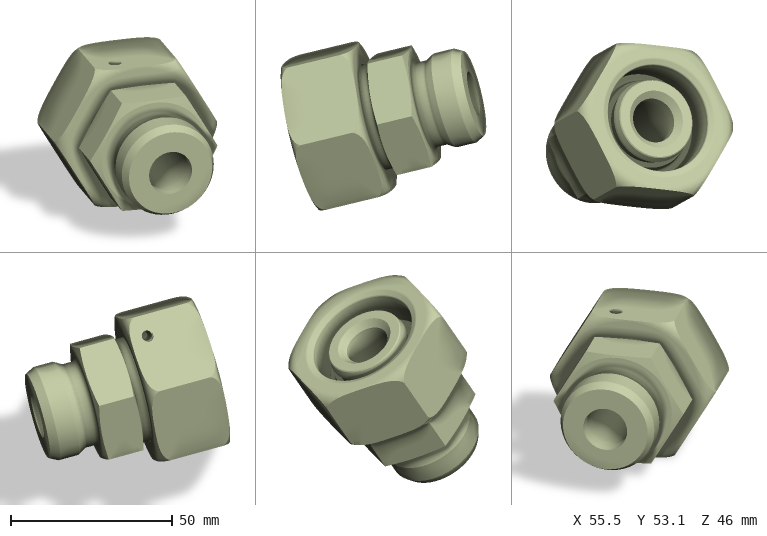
import cadquery as cq
import math


NUT_LENGTH = 23.55
NUT_ACROSS_FLATS = 46.0
NUT_FACE_RADIUS = 22.6
NUT_BORE_RADIUS = 33.85 / 2
MOUTH_RADIUS = 18.85
MOUTH_DEPTH = 0.95
MOUTH_OUTER_ROUND = 1.4
MOUTH_INNER_ROUND = 0.5

WIRE_HOLE_X = 18.0
WIRE_CIRCLE_RADIUS = 33.3 / 2
WIRE_HOLE_DIAMETER = 3.2
WIRE_ENTRY_DIAMETER = 3.55
WIRE_ENTRY_DEPTH = 1.3
WIRE_HOLE_TILT = math.radians(30)

BODY_END = 55.5
BODY_ACROSS_FLATS = 36.0
HEX_START = 26.5
HEX_END = 39.55
HEX_FACE_RADIUS = 17.3
HEX_CHAMFER_ANGLE = math.radians(15)

BORE_RADIUS = 14.0 / 2
BORE_CHAMFER = 2.05
FRONT_X = 2.2
FRONT_EDGE_CHAMFER = 0.35
CONE_START_RADIUS = 12.45
CONE_ANGLE = math.radians(12)
CONE_GROOVE_FRONT_RADIUS = 13.05
CONE_GROOVE_REAR_RADIUS = 13.9
CONE_GROOVE_FLOOR_RADIUS = 12.2
CONE_END_RADIUS = 14.3
CONE_ROOT_ROUND = 0.8
COLLAR_RADIUS = 33.3 / 2
COLLAR_EDGE_RADIUS = 32.95 / 2
COLLAR_ROOT_ROUND = 0.7
NECK_RADIUS = 26.9 / 2
NECK_ROOT_ROUND = 1.1
NECK_END_ROUND = 1.0
NECK_END_ANGLE = math.radians(30)
THREAD_RADIUS = 30.0 / 2
THREAD_START = 46.4
THREAD_END = 52.7
THREAD_END_RADIUS = 13.55


def hex_corner_radius(across_flats):
    """Distance from the axis to a hexagon corner."""
    return across_flats / math.sqrt(3)


def hexagon_bar(start, end, across_flats):
    """Hexagonal bar along X with two flats square to Z."""
    corner_diameter = 2 * hex_corner_radius(across_flats)
    return cq.Workplane("YZ", origin=(start, 0, 0)).polygon(6, corner_diameter).extrude(end - start)


def revolve_about_x(profile):
    """Turn a closed (x, radius) profile about the X axis."""
    return profile.close().revolve(360, (0, 0, 0), (1, 0, 0))



def nut_envelope():
    """Turned shape that rounds the hexagon corners at both end faces."""
    corner_radius = hex_corner_radius(NUT_ACROSS_FLATS)
    corner_round = corner_radius - NUT_FACE_RADIUS
    profile = (
        cq.Workplane("XY")
        .lineTo(0, NUT_FACE_RADIUS)
        .radiusArc((corner_round, corner_radius), corner_round)
        .lineTo(NUT_LENGTH - corner_round, corner_radius)
        .radiusArc((NUT_LENGTH, NUT_FACE_RADIUS), corner_round)
        .lineTo(NUT_LENGTH, 0)
    )
    return revolve_about_x(profile)


def nut_bore():
    """Through bore with a rounded countersink at the left face."""
    profile = (
        cq.Workplane("XY")
        .lineTo(0, MOUTH_RADIUS)
        .lineTo(MOUTH_DEPTH, NUT_BORE_RADIUS)
        .lineTo(NUT_LENGTH, NUT_BORE_RADIUS)
        .lineTo(NUT_LENGTH, 0)
    )
    return revolve_about_x(profile)


def wire_hole():
    """Stepped hole that runs in from the top flat, with its axis tangent to the wire circle."""
    outward = cq.Vector(0, math.sin(WIRE_HOLE_TILT), math.cos(WIRE_HOLE_TILT))
    tangent_point = cq.Vector(
        WIRE_HOLE_X,
        -WIRE_CIRCLE_RADIUS * math.cos(WIRE_HOLE_TILT),
        WIRE_CIRCLE_RADIUS * math.sin(WIRE_HOLE_TILT),
    )
    length_to_flat = (NUT_ACROSS_FLATS / 2 - tangent_point.z) / outward.z
    entry_floor = tangent_point + outward * (length_to_flat - WIRE_ENTRY_DEPTH)
    overrun = WIRE_ENTRY_DIAMETER
    hole = cq.Solid.makeCylinder(WIRE_HOLE_DIAMETER / 2, length_to_flat, tangent_point, outward)
    entry = cq.Solid.makeCylinder(
        WIRE_ENTRY_DIAMETER / 2, WIRE_ENTRY_DEPTH + overrun, entry_floor, outward
    )
    return cq.Workplane(hole).union(cq.Workplane(entry))


def make_nut():
    """Hexagon nut with a plain bore, rounded mouth and wire hole."""
    nut = hexagon_bar(0, NUT_LENGTH, NUT_ACROSS_FLATS).cut(nut_bore())
    smallest_circle = cq.selectors.RadiusNthSelector(0)
    nut = nut.edges(smallest_circle).edges("<X").fillet(MOUTH_INNER_ROUND)
    nut = nut.faces("<X").edges("%CIRCLE").fillet(MOUTH_OUTER_ROUND)
    return nut.intersect(nut_envelope()).cut(wire_hole())



def hex_section():
    """Wrench hexagon with its corners chamfered at both ends."""
    corner_radius = hex_corner_radius(BODY_ACROSS_FLATS)
    chamfer_length = (corner_radius - HEX_FACE_RADIUS) * math.tan(HEX_CHAMFER_ANGLE)
    envelope = (
        cq.Workplane("XY")
        .moveTo(HEX_START, 0)
        .lineTo(HEX_START, HEX_FACE_RADIUS)
        .lineTo(HEX_START + chamfer_length, corner_radius)
        .lineTo(HEX_END - chamfer_length, corner_radius)
        .lineTo(HEX_END, HEX_FACE_RADIUS)
        .lineTo(HEX_END, 0)
    )
    bar = hexagon_bar(HEX_START, HEX_END, BODY_ACROSS_FLATS)
    return bar.intersect(revolve_about_x(envelope))


def cone_x(radius):
    """X position where the sealing cone reaches the given radius."""
    return FRONT_X + FRONT_EDGE_CHAMFER + (radius - CONE_START_RADIUS) / math.tan(CONE_ANGLE)


def sealing_end():
    """Grooved sealing cone and collar on the nut side of the hexagon."""
    groove_front_x = cone_x(CONE_GROOVE_FRONT_RADIUS)
    groove_rear_x = cone_x(CONE_GROOVE_REAR_RADIUS)
    cone_end_x = cone_x(CONE_END_RADIUS)
    collar_x = cone_end_x + CONE_ROOT_ROUND * (1 - math.sin(CONE_ANGLE))
    root_end_radius = CONE_END_RADIUS + CONE_ROOT_ROUND * math.cos(CONE_ANGLE)
    profile = (
        cq.Workplane("XY")
        .moveTo(FRONT_X, 0)
        .lineTo(FRONT_X, CONE_START_RADIUS - FRONT_EDGE_CHAMFER)
        .lineTo(cone_x(CONE_START_RADIUS), CONE_START_RADIUS)
        .lineTo(groove_front_x, CONE_GROOVE_FRONT_RADIUS)
        .lineTo(groove_front_x, CONE_GROOVE_FLOOR_RADIUS)
        .lineTo(groove_rear_x, CONE_GROOVE_FLOOR_RADIUS)
        .lineTo(groove_rear_x, CONE_GROOVE_REAR_RADIUS)
        .lineTo(cone_end_x, CONE_END_RADIUS)
        .radiusArc((collar_x, root_end_radius), -CONE_ROOT_ROUND)
        .lineTo(collar_x, COLLAR_EDGE_RADIUS)
        .lineTo(collar_x + COLLAR_RADIUS - COLLAR_EDGE_RADIUS, COLLAR_RADIUS)
        .lineTo(HEX_START - COLLAR_ROOT_ROUND, COLLAR_RADIUS)
        .radiusArc((HEX_START, COLLAR_RADIUS + COLLAR_ROOT_ROUND), -COLLAR_ROOT_ROUND)
        .lineTo(HEX_START, 0)
    )
    return revolve_about_x(profile)


def thread_end():
    """Neck and threaded cylinder on the right of the hexagon."""
    slope = math.tan(NECK_END_ANGLE)
    neck_end_x = THREAD_START - (THREAD_RADIUS - NECK_RADIUS) / slope
    tangent = NECK_END_ROUND * math.tan(NECK_END_ANGLE / 2)
    profile = (
        cq.Workplane("XY")
        .moveTo(HEX_END, 0)
        .lineTo(HEX_END, NECK_RADIUS + NECK_ROOT_ROUND)
        .radiusArc((HEX_END + NECK_ROOT_ROUND, NECK_RADIUS), -NECK_ROOT_ROUND)
        .lineTo(neck_end_x - tangent, NECK_RADIUS)
        .radiusArc(
            (
                neck_end_x + tangent * math.cos(NECK_END_ANGLE),
                NECK_RADIUS + tangent * math.sin(NECK_END_ANGLE),
            ),
            -NECK_END_ROUND,
        )
        .lineTo(THREAD_START, THREAD_RADIUS)
        .lineTo(THREAD_END, THREAD_RADIUS)
        .lineTo(BODY_END, THREAD_END_RADIUS)
        .lineTo(BODY_END, 0)
    )
    return revolve_about_x(profile)


def body_bore():
    """Through bore with a chamfer at the sealing end."""
    profile = (
        cq.Workplane("XY")
        .moveTo(FRONT_X, 0)
        .lineTo(FRONT_X, BORE_RADIUS + BORE_CHAMFER)
        .lineTo(FRONT_X + BORE_CHAMFER, BORE_RADIUS)
        .lineTo(BODY_END, BORE_RADIUS)
        .lineTo(BODY_END, 0)
    )
    return revolve_about_x(profile)


def make_body():
    """One-piece fitting body: sealing end, hexagon and threaded end."""
    return sealing_end().union(hex_section()).union(thread_end()).cut(body_bore())


nut = make_nut()
body = make_body()

result = cq.Compound.makeCompound([nut.solids().val(), body.solids().val()])